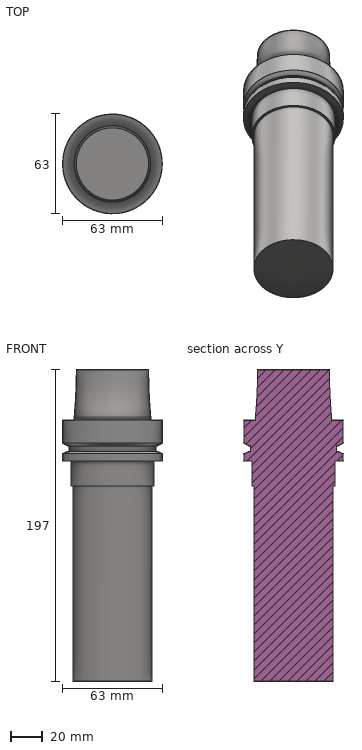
import cadquery as cq

total_length = 197.0
collar_bottom = 123.3
flange_bottom = 139.0
groove_lower_edge = 143.8
groove_floor_bottom = 145.2
groove_floor_top = 148.7
groove_upper_edge = 150.5
flange_top = 165.0
taper_bottom = 167.0

shank_radius = 50.0 / 2
collar_radius = 52.6 / 2
flange_radius = 63.0 / 2
groove_radius = 55.0 / 2
groove_ledge_radius = 28.5
taper_base_radius = 48.5 / 2
taper_tip_radius = 45.7 / 2

taper_mid_height = (taper_bottom + total_length) / 2
taper_mid_radius = taper_tip_radius + (taper_base_radius - taper_tip_radius) / 4

half_profile = (
    cq.Workplane("XZ")
    .lineTo(shank_radius, 0)
    .lineTo(shank_radius, collar_bottom)
    .lineTo(collar_radius, collar_bottom)
    .lineTo(collar_radius, flange_bottom)
    .lineTo(flange_radius, flange_bottom)
    .lineTo(flange_radius, groove_lower_edge)
    .lineTo(groove_ledge_radius, groove_floor_bottom)
    .lineTo(groove_radius, groove_floor_bottom)
    .lineTo(groove_radius, groove_floor_top)
    .lineTo(groove_ledge_radius, groove_floor_top)
    .lineTo(flange_radius, groove_upper_edge)
    .lineTo(flange_radius, flange_top)
    .lineTo(taper_base_radius, flange_top)
    .lineTo(taper_base_radius, taper_bottom)
    .threePointArc((taper_mid_radius, taper_mid_height), (taper_tip_radius, total_length))
    .lineTo(0, total_length)
    .close()
)

result = half_profile.revolve(360, (0, 0, 0), (0, 1, 0))